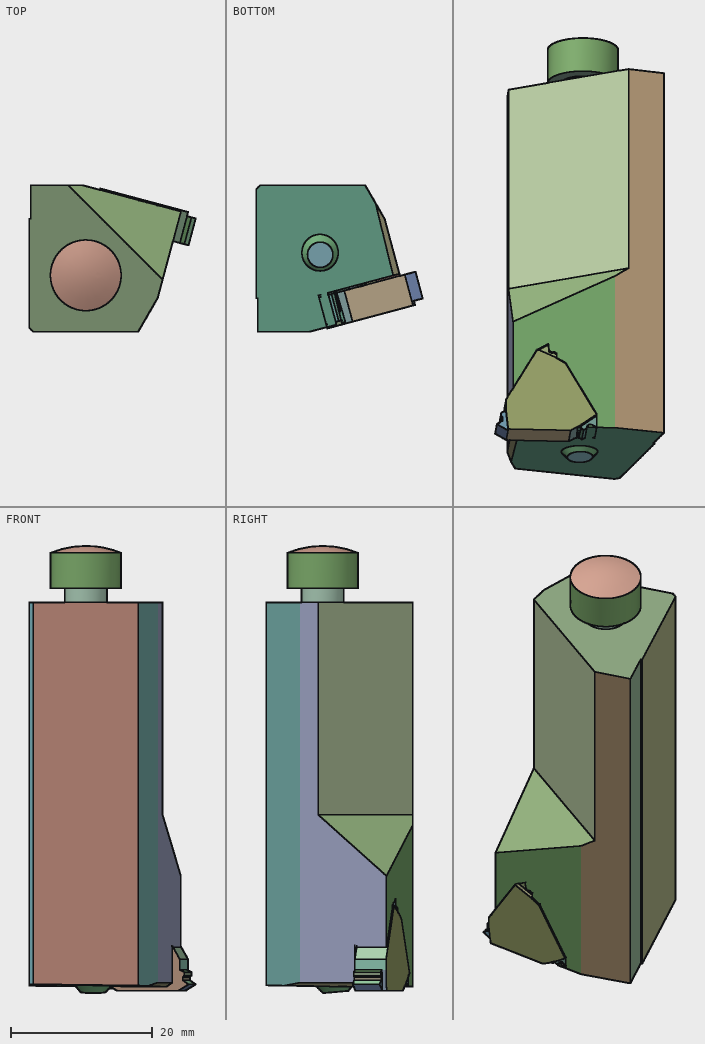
import cadquery as cq
import math


side_distance = 8.0
back_y = 12.75
corner_chamfer = 0.6
relief_start_y = 8.0
relief_depth = 0.2
front_face_end_x = 7.4
bevel_angle = 60.0
bevel_width = 5.55
head_angle = 15.0
back_face_end_x = -0.5

corner_depth = 53.92
bottom_tilt = 1.0
shoulder_distance = 7.24
shoulder_z = -30.0
block_size = 80.0

bottom_bevel_z = -53.7
bottom_bevel_run = 0.9
bottom_bevel_drop = 0.6

neck_diameter = 6.0
neck_height = 2.0
stud_diameter = 10.0
stud_height = 5.0
dome_height = 1.0

screw_x = 1.05
screw_y = 1.85
screw_face_z = -55.05
screw_face_diameter = 3.6
screw_half_angle = 40.0
screw_head_height = 2.0
screw_tilt = 5.0

cutting_edges = 3
insert_centre_u = -4.86
insert_centre_z = -50.02
insert_inradius = 4.87
insert_proud = 0.2
insert_thickness = 4.55
edge_width = 3.95
pocket_clearance = 0.3

nose_u = 5.86
nose_bottom_z = -1.9
ridge_u = 6.51
ridge_top_z = -2.2
ridge_bottom_z = -2.7
step_u = 6.3
step_top_z = -2.9
step_bottom_z = -3.35
edge_u = 7.14
edge_z = -3.95
ramp_angle = 30.0

turn = math.radians(head_angle)
u_x, u_y = math.cos(turn), -math.sin(turn)
v_x, v_y = math.sin(turn), math.cos(turn)

bevel_end_x = front_face_end_x + bevel_width * math.cos(math.radians(bevel_angle))
bevel_end_y = -side_distance + bevel_width * math.sin(math.radians(bevel_angle))
angled_back_length = (bevel_end_x - back_face_end_x) * u_x + (bevel_end_y - back_y) * u_y
cutting_corner = (back_face_end_x + angled_back_length * u_x, back_y + angled_back_length * u_y)

insert_front = insert_proud - insert_thickness


def cutting_plane(v):
    """Plane with local x along u and local y along Z; it extrudes towards -v."""
    origin = (cutting_corner[0] + v * v_x, cutting_corner[1] + v * v_y, 0)
    return cq.Plane(origin=origin, xDir=(u_x, u_y, 0), normal=(-v_x, -v_y, 0))


def turned(points):
    """Outline made by repeating one corner's points around the insert centre."""
    outline = []
    for k in range(cutting_edges):
        angle = -2 * math.pi * k / cutting_edges
        c, s = math.cos(angle), math.sin(angle)
        for u, z in points:
            outline.append((insert_centre_u + c * u - s * z, insert_centre_z + s * u + c * z))
    return outline


def insert_outline(with_tips):
    """Outline of the insert, with the cutting tips or with plain corners."""
    side_angle = math.radians(360 / cutting_edges - 90)
    nose_top_z = (insert_inradius - nose_u * math.cos(side_angle)) / math.sin(side_angle)
    ramp_run = (edge_z + insert_inradius) / math.tan(math.radians(ramp_angle))
    tip = [
        (ridge_u, ridge_top_z),
        (ridge_u, ridge_bottom_z),
        (step_u, step_top_z),
        (step_u, step_bottom_z),
        (edge_u, edge_z),
    ]
    corner = [(nose_u, nose_top_z), (nose_u, nose_bottom_z)]
    if with_tips:
        corner += tip
    corner.append((edge_u - ramp_run, -insert_inradius))
    return turned(corner)


def make_insert():
    """Triangular plate with three cutting tips, all flush with its front side."""
    plate = cq.Workplane(cutting_plane(insert_proud)).polyline(insert_outline(False)).close()
    tips = cq.Workplane(cutting_plane(insert_front + edge_width)).polyline(insert_outline(True)).close()
    return plate.extrude(insert_thickness).union(tips.extrude(edge_width))


def pocket_cutter():
    """Insert pocket, open at the angled back face and deeper than the insert."""
    pocket = cq.Workplane(cutting_plane(insert_proud)).polyline(insert_outline(True)).close()
    return pocket.extrude(insert_thickness + pocket_clearance)


def make_column():
    """Straight column with the holder's full section."""
    outline = [
        (-side_distance, -side_distance + corner_chamfer),
        (-side_distance + corner_chamfer, -side_distance),
        (front_face_end_x, -side_distance),
        (bevel_end_x, bevel_end_y),
        cutting_corner,
        (back_face_end_x, back_y),
        (-side_distance + relief_depth, back_y),
        (-side_distance + relief_depth, relief_start_y),
        (-side_distance, relief_start_y),
    ]
    return cq.Workplane("XY").polyline(outline).close().extrude(-block_size)


def shoulder_cutter():
    """Space outside the upper diagonal face and the 45 degree slope below it."""
    plane = cq.Plane(origin=(0, 0, 0), xDir=(1, 1, 0), normal=(1, -1, 0))
    reach = block_size / 2
    outline = [
        (shoulder_distance, 0),
        (shoulder_distance, shoulder_z),
        (shoulder_distance + reach, shoulder_z - reach),
        (shoulder_distance + reach, 0),
    ]
    return cq.Workplane(plane).polyline(outline).close().extrude(block_size / 2, both=True)


def bottom_cutter():
    """Space below the tilted bottom face."""
    slope = math.tan(math.radians(bottom_tilt)) / math.sqrt(2)
    plane = cq.Plane(
        origin=(-side_distance, -side_distance, -corner_depth),
        xDir=(1, 0, -slope),
        normal=(-slope, -slope, -1),
    )
    return cq.Workplane(plane).rect(2 * block_size, 2 * block_size).extrude(block_size)


def bottom_bevel_cutter():
    """Wedge off the bottom edge of the cutting side, up to the insert."""
    outline = [
        (0, bottom_bevel_z),
        (-2 * bottom_bevel_run, bottom_bevel_z - 2 * bottom_bevel_drop),
        (bottom_bevel_run, bottom_bevel_z - 2 * bottom_bevel_drop),
        (bottom_bevel_run, bottom_bevel_z),
    ]
    plane = cutting_plane(insert_front)
    return cq.Workplane(plane).polyline(outline).close().extrude(block_size)


def make_stud():
    """Round stud with a domed head."""
    head_top = neck_height + stud_height
    radius = stud_diameter / 2
    dome_radius = (radius**2 + dome_height**2) / (2 * dome_height)
    dome_centre_z = head_top + dome_height - dome_radius
    arc_middle = (radius / 2, dome_centre_z + math.sqrt(dome_radius**2 - (radius / 2) ** 2))
    return (
        cq.Workplane("XZ")
        .moveTo(0, 0)
        .lineTo(neck_diameter / 2, 0)
        .lineTo(neck_diameter / 2, neck_height)
        .lineTo(radius, neck_height)
        .lineTo(radius, head_top)
        .threePointArc(arc_middle, (0, head_top + dome_height))
        .close()
        .revolve(360, (0, 0, 0), (0, 1, 0))
    )


def make_screw_head():
    """Conical screw head that stands out of the bottom, its face turned slightly to +Y."""
    tilt = math.radians(screw_tilt)
    face_radius = screw_face_diameter / 2
    root_radius = face_radius + screw_head_height * math.tan(math.radians(screw_half_angle))
    cone = cq.Solid.makeCone(
        face_radius,
        root_radius,
        screw_head_height,
        pnt=cq.Vector(screw_x, screw_y, screw_face_z),
        dir=cq.Vector(0, -math.sin(tilt), math.cos(tilt)),
    )
    return cq.Workplane(cone)


insert = make_insert()
holder = (
    make_column()
    .cut(shoulder_cutter())
    .cut(bottom_bevel_cutter())
    .cut(bottom_cutter())
    .cut(pocket_cutter())
    .union(make_stud())
    .union(make_screw_head())
)

result = cq.Compound.makeCompound([holder.val(), insert.val()])